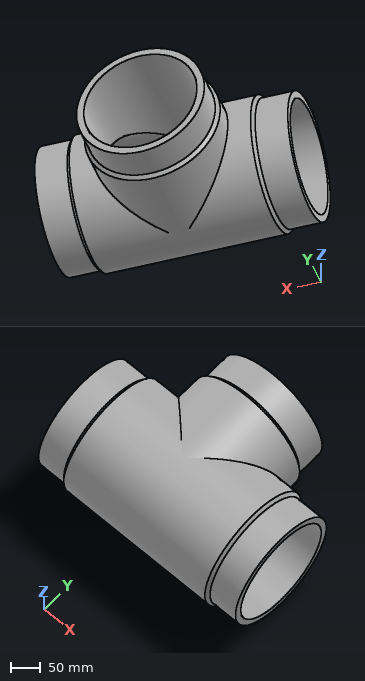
import cadquery as cq

run_length = 445.0
reach = run_length / 2
body_diameter = 238.5
spigot_diameter = 225.0
bore_diameter = 199.0
spigot_length = 57.5
bevel_length = 6.0

body_reach = reach - spigot_length
body_radius = body_diameter / 2
spigot_radius = spigot_diameter / 2


def run_solid():
    """Solid run with a bevelled step down to a spigot at each end."""
    half_profile = [
        (0, body_radius),
        (body_reach - bevel_length, body_radius),
        (body_reach, spigot_radius),
        (reach, spigot_radius),
    ]
    mirrored_half = [(-x, radius) for x, radius in reversed(half_profile[1:])]
    outline = [(-reach, 0)] + mirrored_half + half_profile + [(reach, 0)]
    return cq.Workplane("XY").polyline(outline).close().revolve(360, (0, 0), (1, 0))


def branch_solid():
    """Solid branch from the run axis to its spigot end."""
    outline = [
        (0, 0),
        (body_radius, 0),
        (body_radius, body_reach - bevel_length),
        (spigot_radius, body_reach),
        (spigot_radius, reach),
        (0, reach),
    ]
    return cq.Workplane("XY").polyline(outline).close().revolve(360, (0, 0), (0, 1))


bore_radius = bore_diameter / 2
run_bore = cq.Workplane("YZ").circle(bore_radius).extrude(reach, both=True)
branch_bore = cq.Workplane("XZ").circle(bore_radius).extrude(-reach)

result = run_solid().union(branch_solid()).cut(run_bore).cut(branch_bore)